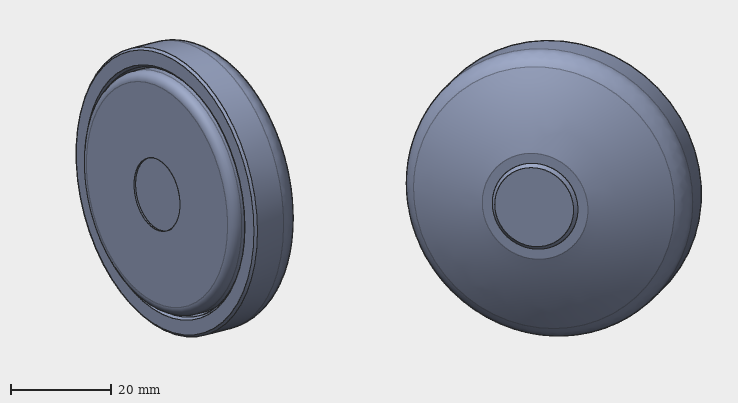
import cadquery as cq


outer_radius = 29.5
total_depth = 20.8

rim_face_y = 2.0
rim_chamfer = 0.5
dome_edge_y = 11.9
dome_middle_radius = 20.05
dome_middle_y = 16.9
shoulder_fillet = 5.0
crown_radius = 10.9
crown_y = 20.1
recess_radius = 25.5
recess_depth = 2.0

pad_radius = 25.0
pad_fillet = 2.0
badge_radius = 7.5
badge_depth = 0.4

plug_radius = 8.85

cove_radius = recess_radius - pad_radius
recess_floor_y = rim_face_y + recess_depth


def disc(radius, start_y, end_y):
    """Solid cylinder on the Y axis between two Y positions."""
    return cq.Workplane("XZ", origin=(0, start_y, 0)).circle(radius).extrude(start_y - end_y)


def make_housing():
    """Domed body with a chamfered, coved recess for the pad and a bore for the plug."""
    body = (
        cq.Workplane("XY")
        .moveTo(0, recess_floor_y)
        .lineTo(pad_radius, recess_floor_y)
        .radiusArc((recess_radius, recess_floor_y - cove_radius), cove_radius)
        .lineTo(recess_radius, rim_face_y + rim_chamfer)
        .lineTo(recess_radius + rim_chamfer, rim_face_y)
        .lineTo(outer_radius - rim_chamfer, rim_face_y)
        .lineTo(outer_radius, rim_face_y + rim_chamfer)
        .lineTo(outer_radius, dome_edge_y)
        .threePointArc((dome_middle_radius, dome_middle_y), (crown_radius, crown_y))
        .lineTo(0, crown_y)
        .close()
        .revolve(360, (0, 0, 0), (0, 1, 0))
    )
    shoulder_edge = cq.selectors.NearestToPointSelector((0, dome_edge_y, 0))
    body = body.edges("%CIRCLE").edges(shoulder_edge).fillet(shoulder_fillet)
    return body.cut(disc(plug_radius, recess_floor_y, crown_y))


def make_pad():
    """Round pad seated on the recess floor, with a shallow badge recess in its face."""
    body = disc(pad_radius, 0, recess_floor_y)
    body = body.faces("<Y").edges().fillet(pad_fillet)
    return body.cut(disc(badge_radius, 0, badge_depth))


def make_plug():
    """Plug filling the housing bore and standing proud of the crown with a bevelled edge."""
    body = disc(plug_radius, recess_floor_y, total_depth)
    return body.faces(">Y").edges().chamfer(total_depth - crown_y)


housing = make_housing()
pad = make_pad()
plug = make_plug()

result = cq.Compound.makeCompound([housing.solids().val(), pad.solids().val(), plug.solids().val()])